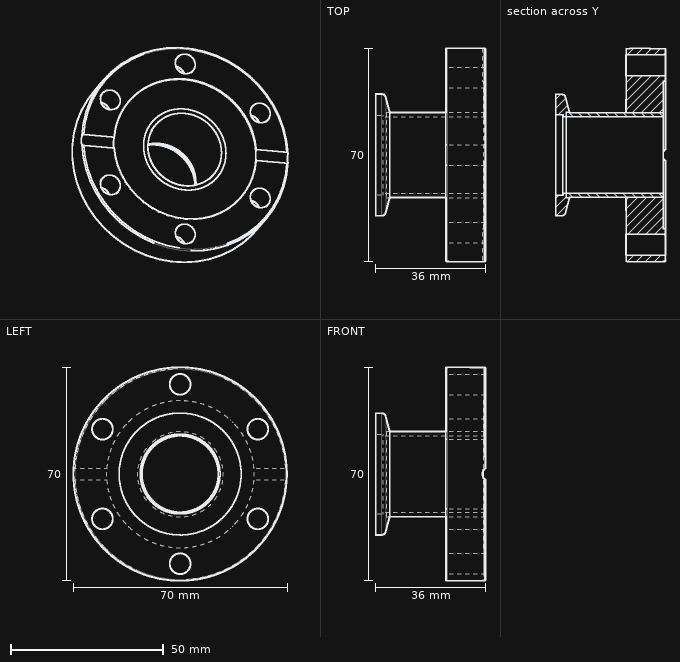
import cadquery as cq
import math

total_length = 36.0

tube_outer_diameter = 28.0
bore_diameter = 25.0

clamp_diameter = 40.0
clamp_rim_width = 1.9
clamp_edge_radius = 1.5
clamp_taper_angle = math.radians(15)
centring_diameter = 26.2
centring_depth = 2.4
tube_start = 3.5

flange_diameter = 70.0
flange_thickness = 13.0
flange_start = total_length - flange_thickness
flange_edge_radius = 0.5
bolt_count = 6
bolt_hole_diameter = 6.7
bolt_circle_diameter = 58.7
recess_diameter = 48.3
leak_slot_width = 3.8
leak_slot_depth = 1.05
recess_depth = 0.7
tube_end = total_length - recess_depth


def cylinder(diameter, start, end):
    """Solid cylinder along X between two stations."""
    return cq.Workplane("YZ").workplane(offset=start).circle(diameter / 2).extrude(end - start)


def make_tube():
    outside = cylinder(tube_outer_diameter, tube_start, tube_end)
    return outside.cut(cylinder(bore_diameter, tube_start, tube_end))


def make_clamp_flange():
    """Rim with a rounded edge and conical back, stepped bore and tube socket."""
    rim_radius = clamp_diameter / 2
    tube_radius = tube_outer_diameter / 2
    arc_centre_radius = rim_radius - clamp_edge_radius

    def edge_point(angle):
        """Point on the rounded edge, with the angle measured from the radial direction."""
        x = clamp_rim_width + clamp_edge_radius * math.sin(angle)
        return x, arc_centre_radius + clamp_edge_radius * math.cos(angle)

    arc_sweep = math.pi / 2 - clamp_taper_angle
    arc_end = edge_point(arc_sweep)
    back = arc_end[0] + (arc_end[1] - tube_radius) * math.tan(clamp_taper_angle)
    body = (
        cq.Workplane("XY")
        .moveTo(0, 0)
        .lineTo(0, rim_radius)
        .lineTo(clamp_rim_width, rim_radius)
        .threePointArc(edge_point(arc_sweep / 2), arc_end)
        .lineTo(back, tube_radius)
        .lineTo(back, 0)
        .close()
        .revolve(360, (0, 0, 0), (1, 0, 0))
    )
    body = body.cut(cylinder(bore_diameter, 0, tube_start))
    body = body.cut(cylinder(centring_diameter, 0, centring_depth))
    return body.cut(cylinder(tube_outer_diameter, tube_start, back))


def leak_slot_cutter():
    """Round-bottomed slots along Y, crossing the rim on both sides of the recess."""
    radius = ((leak_slot_width / 2) ** 2 + leak_slot_depth**2) / (2 * leak_slot_depth)
    axis_x = total_length - leak_slot_depth + radius
    slot = cq.Workplane("XZ").center(axis_x, 0).circle(radius).extrude(flange_diameter / 2, both=True)
    return slot.cut(cylinder(recess_diameter, flange_start, axis_x + radius))


def make_bolted_flange():
    body = cylinder(flange_diameter, flange_start, total_length).edges().fillet(flange_edge_radius)
    body = body.cut(cylinder(tube_outer_diameter, flange_start, total_length))
    body = body.cut(cylinder(recess_diameter, tube_end, total_length))
    bolt_holes = (
        cq.Workplane("YZ")
        .workplane(offset=flange_start)
        .polarArray(bolt_circle_diameter / 2, 90, 360, bolt_count)
        .circle(bolt_hole_diameter / 2)
        .extrude(flange_thickness)
    )
    return body.cut(bolt_holes).cut(leak_slot_cutter())


clamp_flange = make_clamp_flange()
tube = make_tube()
bolted_flange = make_bolted_flange()

result = cq.Compound.makeCompound([clamp_flange.val(), tube.val(), bolted_flange.val()])